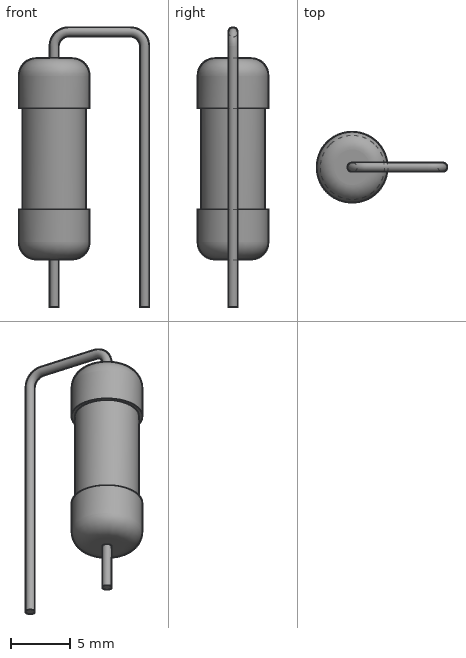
import cadquery as cq

overall_height = 23.6
cap_diameter = 6.0
core_diameter = 5.4
body_bottom = 4.01
body_height = 17.0
cap_height = 4.25
cap_edge_radius = cap_diameter / 4

lead_diameter = 0.8
lead_spacing = 7.62
bend_radius = 1.5 * lead_diameter

body_top = body_bottom + body_height
lead_top = overall_height - lead_diameter / 2
bend_start = lead_top - bend_radius


def cylinder(diameter, bottom, height):
    return cq.Workplane("XY").workplane(offset=bottom).circle(diameter / 2).extrude(height)


def make_body():
    """Cylindrical core joining two wider end caps with rounded outer rims."""
    core = cylinder(core_diameter, body_bottom + cap_height, body_height - 2 * cap_height)
    lower_cap = cylinder(cap_diameter, body_bottom, cap_height).faces("<Z").edges().fillet(cap_edge_radius)
    upper_cap = cylinder(cap_diameter, body_top - cap_height, cap_height)
    upper_cap = upper_cap.faces(">Z").edges().fillet(cap_edge_radius)
    return core.union(lower_cap).union(upper_cap)


def make_lead():
    """One round wire through the body, over two quarter bends and back down."""
    path = (
        cq.Workplane("XZ")
        .lineTo(0, bend_start)
        .tangentArcPoint((bend_radius, lead_top), relative=False)
        .lineTo(lead_spacing - bend_radius, lead_top)
        .tangentArcPoint((lead_spacing, bend_start), relative=False)
        .lineTo(lead_spacing, 0)
    )
    return cq.Workplane("XY").circle(lead_diameter / 2).sweep(path)


result = make_body().union(make_lead())